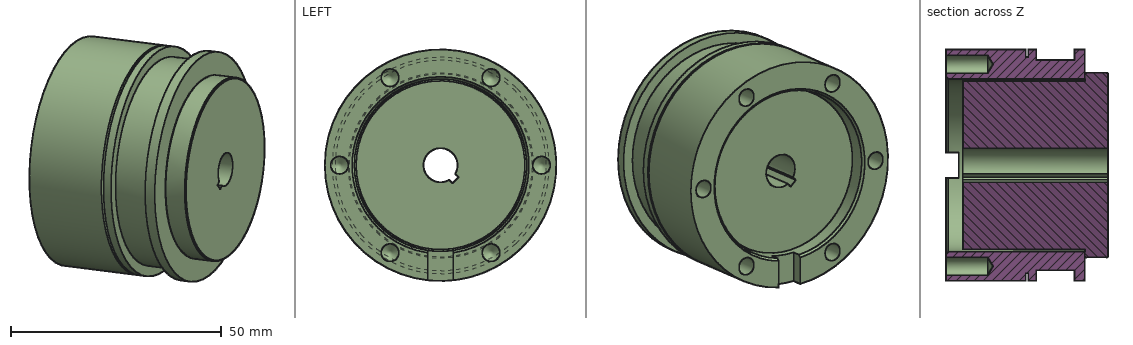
import cadquery as cq
import math

total_length = 38.5
outer_radius = 27.5

housing_length = 33.0
bore_radius = 20.45
bore_chamfer = 0.55
thin_groove_radius = 25.75
thin_groove_start = 19.0
thin_groove_end = 19.5
neck_radius = 25.0
neck_start = 21.5
neck_end = 30.45

notch_width = 6.0
notch_depth = 3.0

hole_count = 6
hole_radius = 2.1
hole_circle_radius = 24.0
hole_depth = 9.9
drill_tip_angle = 118.0

core_clearance = 0.45
core_radius = bore_radius - core_clearance
core_start = 4.0
disc_radius = 22.0
disc_chamfer = 0.3
shaft_radius = 4.0
keyway_width = 2.0
keyway_reach = 5.0
keyway_angle = 45.0


def cylinder(radius, start, end):
    """Solid cylinder on the X axis between two X positions."""
    return cq.Workplane("YZ", origin=(start, 0, 0)).circle(radius).extrude(end - start)


def ring_groove(floor_radius, start, end):
    """Material to remove for a groove around the outside of the housing."""
    return cylinder(outer_radius, start, end).cut(cylinder(floor_radius, start, end))


def radial_bar(depth, width, reach):
    """Bar that starts at X = 0 and runs from the X axis down to Z = -reach."""
    bar = cq.Workplane("XY").box(depth, width, reach, centered=(False, True, False))
    return bar.translate((0, 0, -reach))


def screw_hole():
    """Drilled hole with a conical end, on the +Y side of the hole circle."""
    tip_length = hole_radius / math.tan(math.radians(drill_tip_angle / 2))
    half_section = (
        cq.Workplane("XY")
        .lineTo(0, hole_radius)
        .lineTo(hole_depth, hole_radius)
        .lineTo(hole_depth + tip_length, 0)
        .close()
    )
    hole = half_section.revolve(360, (0, 0, 0), (1, 0, 0))
    return hole.translate((0, hole_circle_radius, 0))


def make_housing():
    body = cylinder(outer_radius, 0, housing_length)
    body = body.cut(cylinder(bore_radius, 0, housing_length))
    bore_mouth = body.faces("<X").edges(cq.selectors.RadiusNthSelector(0))
    body = bore_mouth.chamfer(bore_chamfer)

    body = body.cut(ring_groove(thin_groove_radius, thin_groove_start, thin_groove_end))
    body = body.cut(ring_groove(neck_radius, neck_start, neck_end))

    body = body.cut(radial_bar(notch_depth, notch_width, outer_radius))
    for index in range(hole_count):
        angle = index * 360 / hole_count
        body = body.cut(screw_hole().rotate((0, 0, 0), (1, 0, 0), angle))
    return body


def make_rotor():
    disc = cylinder(disc_radius, housing_length, total_length)
    disc = disc.edges("%CIRCLE").chamfer(disc_chamfer)
    body = disc.union(cylinder(core_radius, core_start, housing_length))

    body = body.cut(cylinder(shaft_radius, 0, total_length))
    keyway = radial_bar(total_length, keyway_width, keyway_reach)
    return body.cut(keyway.rotate((0, 0, 0), (1, 0, 0), -keyway_angle))


housing = make_housing()
rotor = make_rotor()
result = cq.Compound.makeCompound([housing.solids().val(), rotor.solids().val()])